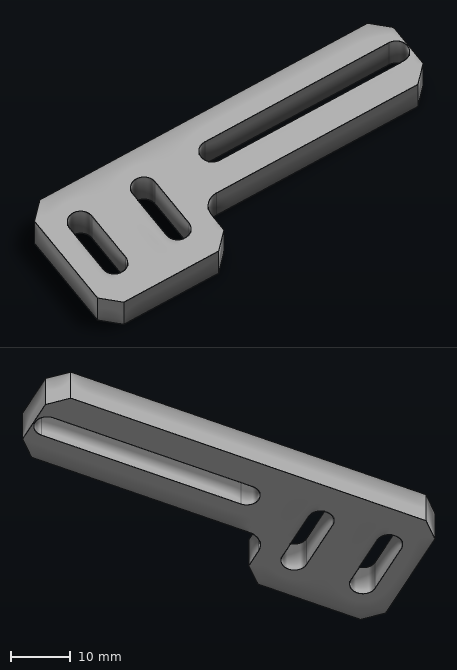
import cadquery as cq

total_length = 72.15
foot_size = 25.4
arm_width = 15.2
thickness = 6.35
corner_chamfer = 3.2
inner_fillet = 3.2

slot_width = 4.5
arm_slot_length = 41.4
arm_slot_end_wall = 0.2
foot_slot_length = 14.65
foot_slot_heights = (foot_size / 4, foot_size * 3 / 4)


def plate():
    """L-shaped plate with its lower left corner at the origin."""
    outline = [
        (0, 0),
        (foot_size, 0),
        (foot_size, foot_size),
        (arm_width, foot_size),
        (arm_width, total_length),
        (0, total_length),
    ]
    body = cq.Workplane("XY").polyline(outline).close().extrude(thickness)
    inner_corner = cq.selectors.NearestToPointSelector((arm_width, foot_size, thickness / 2))
    body = body.edges("|Z").edges(inner_corner).fillet(inner_fillet)

    outer_corners = [point for point in outline if point != (arm_width, foot_size)]
    for x, y in outer_corners:
        corner = cq.selectors.NearestToPointSelector((x, y, thickness / 2))
        body = body.edges("|Z").edges(corner).chamfer(corner_chamfer)
    return body


def slot_cutter(x, y, length, angle):
    """Round-ended through slot centred on (x, y)."""
    return (
        cq.Workplane("XY")
        .center(x, y)
        .slot2D(length, slot_width, angle)
        .extrude(thickness)
    )


result = plate()

arm_slot_y = total_length - arm_slot_end_wall - arm_slot_length / 2
result = result.cut(slot_cutter(arm_width / 2, arm_slot_y, arm_slot_length, 90))

for slot_y in foot_slot_heights:
    result = result.cut(slot_cutter(foot_size / 2, slot_y, foot_slot_length, 0))